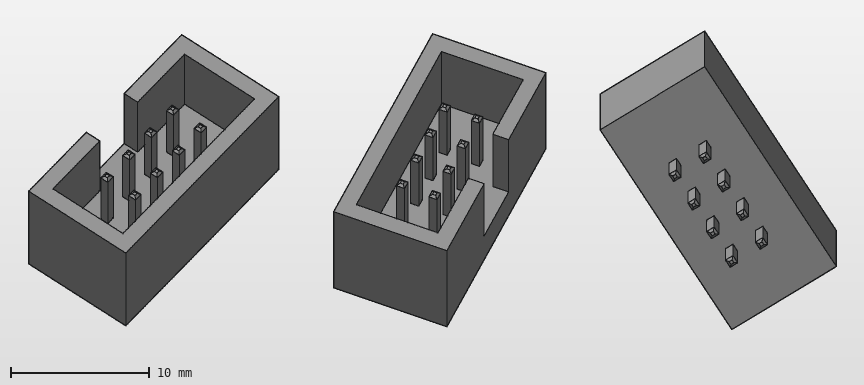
import cadquery as cq

LENGTH = 17.78
WIDTH = 8.9
HOUSING_HEIGHT = 8.89
WALL = 1.25
FLOOR = 2.8

SLOT_WIDTH = 4.4

PIN_COLUMNS = 2
PIN_ROWS = 4
PITCH = 2.55
PIN_SIZE = 0.64
TIP_SIZE = 0.25
TIP_HEIGHT = 0.18
PIN_BOTTOM = -3.0
PIN_TOP = 8.0


def make_housing():
    """Open-topped box with a keying slot cut down to the floor."""
    cavity_depth = HOUSING_HEIGHT - FLOOR
    housing = cq.Workplane("XY").box(WIDTH, LENGTH, HOUSING_HEIGHT, centered=(True, True, False))
    cavity = (
        cq.Workplane("XY", origin=(0, 0, FLOOR))
        .box(WIDTH - 2 * WALL, LENGTH - 2 * WALL, cavity_depth, centered=(True, True, False))
    )
    slot = (
        cq.Workplane("XY", origin=(-WIDTH / 2, 0, FLOOR))
        .box(2 * WALL, SLOT_WIDTH, cavity_depth, centered=(True, True, False))
    )
    return housing.cut(cavity).cut(slot)


def make_tip(shoulder_z, direction):
    """Truncated pyramid from the pin shoulder; direction is +1 for up, -1 for down."""
    return (
        cq.Workplane("XY", origin=(0, 0, shoulder_z))
        .rect(PIN_SIZE, PIN_SIZE)
        .workplane(offset=direction * TIP_HEIGHT)
        .rect(TIP_SIZE, TIP_SIZE)
        .loft(ruled=True)
    )


def make_pin():
    """Square pin on the Z axis, tapered at both ends."""
    shoulder_bottom = PIN_BOTTOM + TIP_HEIGHT
    shoulder_top = PIN_TOP - TIP_HEIGHT
    shaft = (
        cq.Workplane("XY", origin=(0, 0, shoulder_bottom))
        .rect(PIN_SIZE, PIN_SIZE)
        .extrude(shoulder_top - shoulder_bottom)
    )
    return shaft.union(make_tip(shoulder_top, 1)).union(make_tip(shoulder_bottom, -1))


def add_pins(housing):
    """Join the centred grid of pins to the housing."""
    pin = make_pin()
    for column in range(PIN_COLUMNS):
        for row in range(PIN_ROWS):
            x = (column - (PIN_COLUMNS - 1) / 2) * PITCH
            y = (row - (PIN_ROWS - 1) / 2) * PITCH
            housing = housing.union(pin.translate((x, y, 0)))
    return housing


result = add_pins(make_housing())